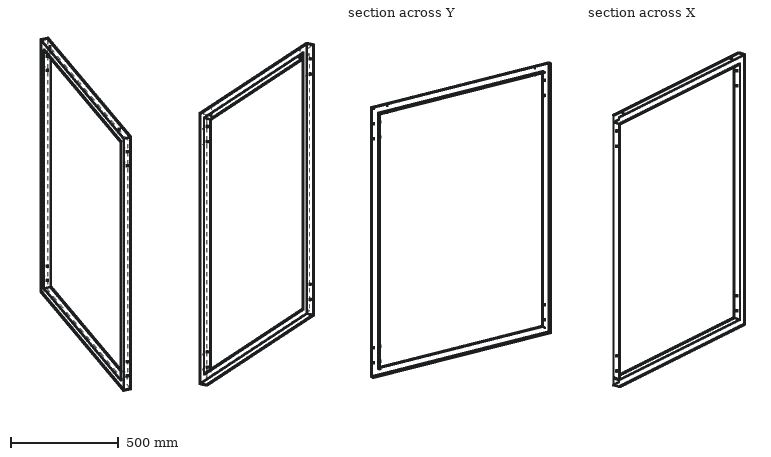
import cadquery as cq

FRAME_WIDTH = 977.9
FRAME_HEIGHT = 1365.25
TUBE_SIZE = 38.1
TUBE_WALL = 3.175

HOLE_DIAMETER = 6.76
STILE_HOLE_PITCH = 76.2
RAIL_HOLE_LEFT_INSET = 76.2
RAIL_HOLE_RIGHT_INSET = 88.9
RAIL_HOLE_FRONT_INSET = 15.875


def make_ring(inset):
    """Closed square-section ring standing in the XZ plane, shrunk by inset on every face."""
    depth = TUBE_SIZE - 2 * inset
    outer_width = FRAME_WIDTH - 2 * inset
    outer_height = FRAME_HEIGHT - 2 * inset
    outer = cq.Workplane("XY").box(outer_width, depth, outer_height)
    opening = cq.Workplane("XY").box(outer_width - 2 * depth, depth, outer_height - 2 * depth)
    return outer.cut(opening)


def make_tube_frame():
    """Frame of square tube whose cavity runs all the way round."""
    return make_ring(0).cut(make_ring(TUBE_WALL))


def make_rail_drills():
    """Vertical drills through both walls of the top rail, one near each corner."""
    left_x = RAIL_HOLE_LEFT_INSET - FRAME_WIDTH / 2
    right_x = FRAME_WIDTH / 2 - RAIL_HOLE_RIGHT_INSET
    hole_y = RAIL_HOLE_FRONT_INSET - TUBE_SIZE / 2
    return (
        cq.Workplane("XY", origin=(0, 0, FRAME_HEIGHT / 2))
        .pushPoints([(left_x, hole_y), (right_x, hole_y)])
        .circle(HOLE_DIAMETER / 2)
        .extrude(-TUBE_SIZE)
    )


def make_stile_drills():
    """Horizontal drills through both stiles, two near each corner."""
    outer_z = FRAME_HEIGHT / 2 - STILE_HOLE_PITCH
    inner_z = outer_z - STILE_HOLE_PITCH
    hole_points = [(0, z) for z in (-outer_z, -inner_z, inner_z, outer_z)]
    return (
        cq.Workplane("YZ")
        .pushPoints(hole_points)
        .circle(HOLE_DIAMETER / 2)
        .extrude(FRAME_WIDTH / 2, both=True)
    )


result = make_tube_frame().cut(make_rail_drills()).cut(make_stile_drills())